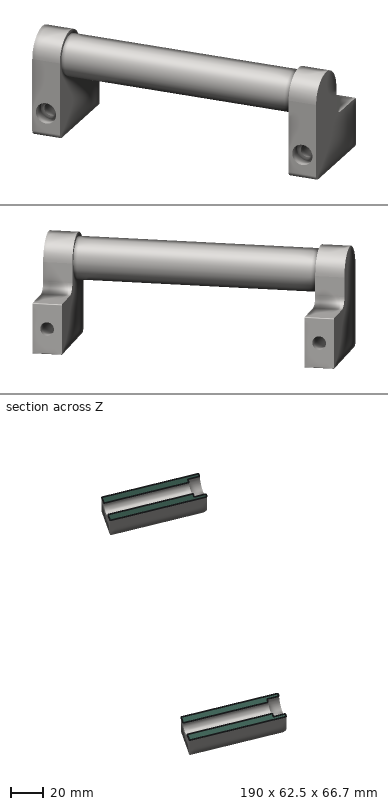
import cadquery as cq

LENGTH = 190.0
DEPTH = 62.5
HEIGHT = 66.7

BRACKET_WIDTH = 18.5
HEAD_RADIUS = 16.0
FOOT_HEIGHT = 32.0
INNER_FILLET = 6.5
FRONT_ROUND = 3.0
BACK_ROUND = 0.5

HOLE_DIAMETER = 8.5
COUNTERBORE_DIAMETER = 13.5
COUNTERBORE_DEPTH = 7.6
HOLE_HEIGHT = FOOT_HEIGHT / 2

BAR_DIAMETER = 27.0
BAR_LENGTH = LENGTH - 2 * BRACKET_WIDTH

AXIS_HEIGHT = HEIGHT - HEAD_RADIUS
FRONT = -HEAD_RADIUS
BACK = FRONT + DEPTH


def make_blank(x_start):
    """L-shaped plate with a half-round head, extruded along X."""
    profile = (
        cq.Workplane("YZ", origin=(x_start, 0, 0))
        .moveTo(FRONT, 0)
        .lineTo(FRONT, AXIS_HEIGHT)
        .threePointArc((0, HEIGHT), (HEAD_RADIUS, AXIS_HEIGHT))
        .lineTo(HEAD_RADIUS, FOOT_HEIGHT)
        .lineTo(BACK, FOOT_HEIGHT)
        .lineTo(BACK, 0)
        .close()
    )
    return profile.extrude(BRACKET_WIDTH)


def round_corners(blank, x_start):
    """Round the inner corner, the front bottom edge and the two back edges."""
    x_middle = x_start + BRACKET_WIDTH / 2

    def edge_at(y, z):
        return cq.selectors.NearestToPointSelector((x_middle, y, z))

    return (
        blank
        .edges(edge_at(HEAD_RADIUS, FOOT_HEIGHT)).fillet(INNER_FILLET)
        .edges(edge_at(FRONT, 0)).fillet(FRONT_ROUND)
        .edges(edge_at(BACK, 0)).fillet(BACK_ROUND)
        .edges(edge_at(BACK, FOOT_HEIGHT)).fillet(BACK_ROUND)
    )


def make_mounting_hole(x_start):
    """Cutter for the through hole along Y and its counterbore."""
    x_middle = x_start + BRACKET_WIDTH / 2
    entry = cq.Workplane("XZ", origin=(x_middle, FRONT, HOLE_HEIGHT))
    through_hole = entry.circle(HOLE_DIAMETER / 2).extrude(-DEPTH)
    counterbore = entry.circle(COUNTERBORE_DIAMETER / 2).extrude(-COUNTERBORE_DEPTH)
    return through_hole.union(counterbore)


def make_bracket(x_start):
    blank = round_corners(make_blank(x_start), x_start)
    return blank.cut(make_mounting_hole(x_start))


def make_bar():
    """Round bar whose ends rest against the inner bracket faces."""
    start = cq.Workplane("YZ", origin=(-BAR_LENGTH / 2, 0, AXIS_HEIGHT))
    return start.circle(BAR_DIAMETER / 2).extrude(BAR_LENGTH)


brackets = [make_bracket(x_start) for x_start in (-LENGTH / 2, BAR_LENGTH / 2)]
bar = make_bar()

result = cq.Compound.makeCompound([bar.val(), *[bracket.val() for bracket in brackets]])